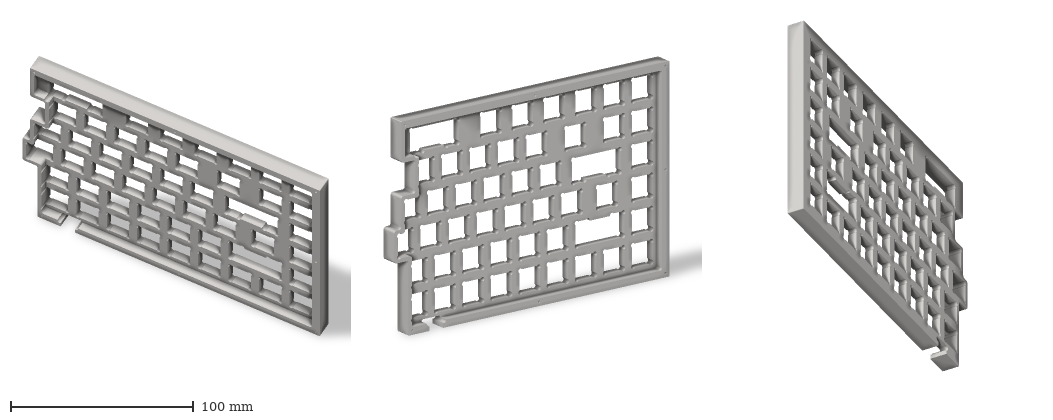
import cadquery as cq
LENGTH = 186.0
DEPTH = 10.0
HEIGHT = 124.2
RIGHT = LENGTH / 2
TOP = HEIGHT / 2
FRONT = -DEPTH / 2

SWITCH_SIZE = 14.0
HALF_SWITCH = SWITCH_SIZE / 2
LEFT_WALL = 2.5
CASE_MARGIN = HALF_SWITCH + LEFT_WALL
FIRST_COLUMN_X = CASE_MARGIN - RIGHT
LAST_COLUMN = 8.5
LAST_COLUMN_MARGIN = 14.7
LAST_COLUMN_X = RIGHT - LAST_COLUMN_MARGIN
KEY_PITCH = (LAST_COLUMN_X - FIRST_COLUMN_X) / LAST_COLUMN

ROW_COUNT = 6
ROW_START_COLUMNS = [0.25, 0.75, 0.25, 0, 0.5]
STEP_RADIUS = 1.5
CORNER_RADIUS = 0.46

POCKET_DEPTH = 5.0
RIM_WIDTH_Z = 4.5
RIM_WIDTH_RIGHT = 5.0
POCKET_RADIUS = 1.5

RELIEF_RADIUS = 1.4
RELIEF_INSET = 0.84

SWITCH_COLUMNS = [
    [3.125, 4.25, 5.375, 6.5, 7.5, LAST_COLUMN],
    [0.75, 1.75, 2.75, 3.75, 4.75, 6.125, 7.5, LAST_COLUMN],
    [0.25, 1.25, 2.25, 3.25, 4.25, 5.25, LAST_COLUMN],
    [0, 1, 2, 3, 4, 5, 6, 7.25, LAST_COLUMN],
    [0.5, 1.5, 2.5, 3.5, 4.5, 5.5, LAST_COLUMN],
    [0.5, 1.5, 2.5, 3.5, 4.5, 5.5, 6.5, 7.5, LAST_COLUMN],
]

WIDE_OPENINGS = [(1.125, 0, -1), (6.875, 2, -1), (7, 4, 1)]
LEG_CENTER_OFFSET = 11.9
LEG_WIDTH = 9.3
LEG_EXTENSION = 1.1

HOLE_DIAMETER = 1.4
HOLE_DEPTH = POCKET_DEPTH
HOLE_EDGE_X = 2.6
HOLE_EDGE_Z = 2.5

NOTCH_COLUMN = 1
NOTCH_WIDTH = 9.1
NOTCH_HEIGHT = 5.5
NOTCH_HEAD_WIDTH = 13.0
NOTCH_HEAD_HEIGHT = 3.0


def column_x(column):
    return FIRST_COLUMN_X + column * KEY_PITCH


def row_z(row):
    return ((ROW_COUNT - 1) / 2 - row) * KEY_PITCH


def front_plane(y):
    """Sketch plane facing -Y at the given Y, with X to the right and Z up."""
    return cq.Workplane("XZ", origin=(0, y, 0))


def stepped_block(back, depth, margin, right, top):
    """Block extruded toward -Y whose left edge follows the first key of each row.

    The margin is kept from the key centers, to the left and at the step between two rows,
    where the row that reaches farther left sets the height.
    """
    z = top
    points = [(right, -top), (right, top)]
    last_step = len(ROW_START_COLUMNS) - 1
    for row, start in enumerate(ROW_START_COLUMNS):
        left = column_x(start) - margin
        points.append((left, z))
        if row == last_step:
            z = -top
        elif start < ROW_START_COLUMNS[row + 1]:
            z = row_z(row) - margin
        else:
            z = row_z(row + 1) + margin
        points.append((left, z))
    return front_plane(back).polyline(points).close().extrude(depth)


def case_body():
    """Full-depth case with rounded left steps and slightly eased outer corners."""
    body = stepped_block(-FRONT, DEPTH, CASE_MARGIN, RIGHT, TOP)
    step_zone_top = row_z(0)
    step_edges = cq.selectors.BoxSelector((-LENGTH, -DEPTH, -step_zone_top), (0, DEPTH, step_zone_top))
    body = body.edges("|Y").edges(step_edges).fillet(STEP_RADIUS)
    return body.edges("|Y and (>Z or <Z)").fillet(CORNER_RADIUS)


def pocket():
    """Recess in the front face, flush with the key openings along the left wall."""
    floor = FRONT + POCKET_DEPTH
    right = RIGHT - RIM_WIDTH_RIGHT
    block = stepped_block(floor, POCKET_DEPTH, HALF_SWITCH, right, TOP - RIM_WIDTH_Z)
    return block.edges("|Y").fillet(POCKET_RADIUS)


def through_box(x, z, width, height):
    return cq.Workplane("XY").box(width, DEPTH, height).translate((x, 0, z))


def corner_reliefs(points):
    return front_plane(-FRONT).pushPoints(points).circle(RELIEF_RADIUS).extrude(DEPTH)


def switch_opening(x, z):
    """Square opening with a round relief in each corner."""
    inset = HALF_SWITCH - RELIEF_INSET
    corners = [(x + side * inset, z + end * inset) for side in (-1, 1) for end in (-1, 1)]
    return through_box(x, z, SWITCH_SIZE, SWITCH_SIZE).union(corner_reliefs(corners))


def wide_opening(x, z, leg_direction):
    """Wide opening with a stabilizer leg at each end that reaches farther in the leg direction."""
    opening = through_box(x, z, 2 * LEG_CENTER_OFFSET, SWITCH_SIZE)
    inset = LEG_WIDTH / 2 - RELIEF_INSET
    tip_z = z + leg_direction * (HALF_SWITCH + LEG_EXTENSION - RELIEF_INSET)
    flat_z = z - leg_direction * (HALF_SWITCH - RELIEF_INSET)
    leg_z = z + leg_direction * LEG_EXTENSION / 2
    for side in (-1, 1):
        leg_x = x + side * LEG_CENTER_OFFSET
        outer_x = leg_x + side * inset
        inner_x = leg_x - side * inset
        leg = through_box(leg_x, leg_z, LEG_WIDTH, SWITCH_SIZE + LEG_EXTENSION)
        reliefs = corner_reliefs([(outer_x, tip_z), (inner_x, tip_z), (outer_x, flat_z)])
        opening = opening.union(leg).union(reliefs)
    return opening


def screw_holes():
    """One hole halfway up the right rim and three evenly spaced in the top and bottom rims."""
    right_x = RIGHT - HOLE_EDGE_X
    top_z = TOP - HOLE_EDGE_Z
    points = [(right_x, 0)]
    for start_column, z in ((ROW_START_COLUMNS[0], top_z), (ROW_START_COLUMNS[-1], -top_z)):
        left_x = column_x(start_column) - CASE_MARGIN + HOLE_EDGE_X
        for x in (left_x, (left_x + right_x) / 2, right_x):
            points.append((x, z))
    holes = front_plane(FRONT + HOLE_DEPTH).pushPoints(points)
    return holes.circle(HOLE_DIAMETER / 2).extrude(HOLE_DEPTH)


def cable_notch():
    """Slot open at the bottom with a wider, round-ended head."""
    x = column_x(NOTCH_COLUMN)
    head_z = NOTCH_HEIGHT - TOP - NOTCH_HEAD_HEIGHT / 2
    neck = through_box(x, -TOP, NOTCH_WIDTH, 2 * (head_z + TOP))
    head = front_plane(-FRONT).center(x, head_z).slot2D(NOTCH_HEAD_WIDTH, NOTCH_HEAD_HEIGHT)
    return neck.union(head.extrude(DEPTH))


result = case_body().cut(pocket())

for row, columns in enumerate(SWITCH_COLUMNS):
    for column in columns:
        result = result.cut(switch_opening(column_x(column), row_z(row)))

for column, row, leg_direction in WIDE_OPENINGS:
    result = result.cut(wide_opening(column_x(column), row_z(row), leg_direction))

result = result.cut(screw_holes()).cut(cable_notch())